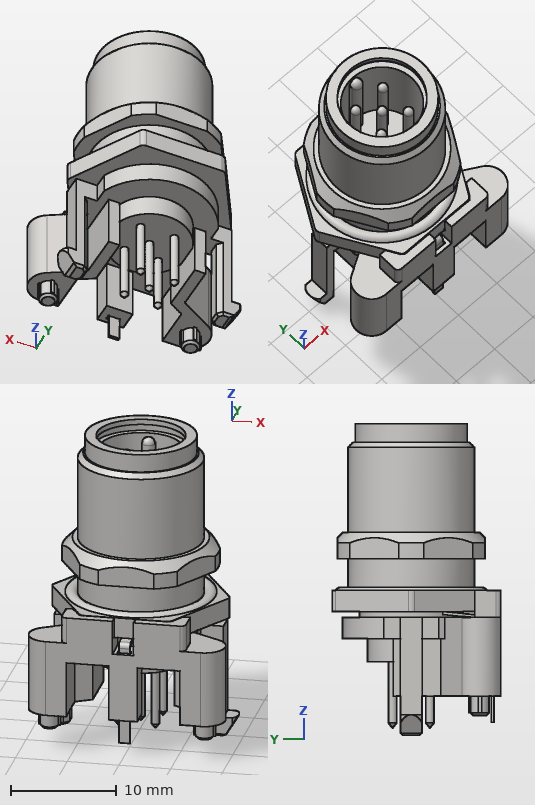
import cadquery as cq
import math


BARREL_R = 6.0
BARREL_TOP_R = 5.5
NECK_R = 5.32
FLANGE_BOTTOM_Z = 8.0
FLANGE_TOP_Z = 10.0
BARREL_TOP_Z = 24.05
BARREL_CHAMFER = BARREL_R - BARREL_TOP_R
TOP_Z = 25.8

FLANGE_ACROSS_FLATS = 15.0
FLANGE_CORNER_R = 0.6

LIP_R = 4.24
LIP_DEPTH = 0.52
UNDERCUT_R = 4.53
UNDERCUT_DEPTH = 1.23
BORE_R = 3.92
BORE_FLOOR_Z = 16.0

NUT_ACROSS_FLATS = 14.0
NUT_TURNED_R = 7.5
NUT_CHAMFER = 1.0
NUT_BOTTOM_Z = 13.0
NUT_TOP_Z = 15.5
RING_CENTER_R = 6.6
RING_SECTION_R = 0.7
RING_TOP_Z = 10.33

CONTACT_CIRCLE_R = 2.5
CONTACT_R = 0.5
CONTACT_TOP_Z = 23.54
TAIL_R = 0.4
TAIL_BOTTOM_Z = -3.05
TAIL_POINT = 0.5
KEY_Y = 3.55
KEY_R = 0.62
KEY_TOP_Z = 24.3

HOUSING_TOP_Z = 7.45
ARCH_TOP_Z = 5.45
FRONT_Y = -8.5
LOBE_X = 7.5
LOBE_R = 2.0
LOBE_Y = FRONT_Y + LOBE_R
FLANK_ANGLE = math.radians(30)
WALL_OUTER_X = 5.1
WALL_BACK_Y = 1.7
WALL_THICKNESS = 1.15
CAVITY_HALF_WIDTH = 5.5
RIB_WIDTH = 2.75
RIB_DEPTH = 2.1
HUB_R = 4.92
DISK_R = 6.54
DISK_FLAT_X = 6.0
CORE_R = 4.15
CORE_BOTTOM_Z = 3.23

BLOCK_HALF_WIDTH = 6.0
BLOCK_BACK_Y = -6.0
BLOCK_CORNER_R = 0.5
NEST_GAP = 0.08

SLOT_WIDTH = 2.04
SLOT_FLOOR_Z = 6.68
STRIP_HOLE_WIDTH = 1.26
STRIP_HOLE_FRONT_Y = -8.04
STRIP_WIDTH = 1.07
STRIP_THICKNESS = 0.28
STRIP_FRONT_Y = -7.85
STRIP_BOTTOM_Z = -2.5
STRIP_BEND_Z = 7.55
STRIP_END_Y = -3.0
LEAF_WIDTH = 8.0
STRIP_BEND_R = 0.5

LEG_WIDTH = 2.06
LEG_INNER_X = 6.8
LEG_OUTER_X = 8.19
HOOK_TIP_X = 9.5
HOOK_TOP_Z = -1.77
LEG_BOTTOM_Z = -3.72
HOOK_BOTTOM_X = 8.3
HOOK_ROUND_R = 1.34
LEG_EDGE_CHAMFER = 0.5
LEG_END_CHAMFER = 0.25

PEG_R = 0.88
PEG_BOTTOM_Z = -1.85
PEG_CHAMFER = 0.25
PEG_RIB_WIDTH = 0.32
PEG_RIB_R = 1.04
PEG_RIB_BOTTOM_Z = -1.6


def cylinder(radius, bottom_z, top_z, x=0, y=0):
    return cq.Workplane("XY", origin=(x, y, bottom_z)).circle(radius).extrude(top_z - bottom_z)


def box(x_min, x_max, y_min, y_max, z_min, z_max):
    size = (x_max - x_min, y_max - y_min, z_max - z_min)
    return cq.Workplane("XY").box(*size, centered=False).translate((x_min, y_min, z_min))


def centered_box(width, y_min, y_max, z_min, z_max):
    return box(-width / 2, width / 2, y_min, y_max, z_min, z_max)


def hexagon(across_flats, bottom_z, top_z):
    """Hexagonal prism with two of its flats facing +Y and -Y."""
    corner_diameter = across_flats / math.cos(math.pi / 6)
    return cq.Workplane("XY", origin=(0, 0, bottom_z)).polygon(6, corner_diameter).extrude(top_z - bottom_z)


def with_mirror(shape):
    return shape.union(shape.mirror("YZ"))


def flange(across_flats, corner_radius):
    return hexagon(across_flats, FLANGE_BOTTOM_Z, FLANGE_TOP_Z).edges("|Z").fillet(corner_radius)


def make_barrel():
    body = cylinder(BARREL_R, FLANGE_BOTTOM_Z, BARREL_TOP_Z).faces(">Z").chamfer(BARREL_CHAMFER)
    neck = cylinder(NECK_R, BARREL_TOP_Z, TOP_Z)
    lip = cylinder(LIP_R, TOP_Z - LIP_DEPTH, TOP_Z)
    undercut = cylinder(UNDERCUT_R, TOP_Z - UNDERCUT_DEPTH, TOP_Z - LIP_DEPTH)
    bore = cylinder(BORE_R, BORE_FLOOR_Z, TOP_Z - UNDERCUT_DEPTH)
    return body.union(neck).cut(lip).cut(undercut).cut(bore)


def make_nut():
    turned = cylinder(NUT_TURNED_R, NUT_BOTTOM_Z, NUT_TOP_Z).faces(">Z").chamfer(NUT_CHAMFER)
    bore = cylinder(BARREL_R, NUT_BOTTOM_Z, NUT_TOP_Z)
    return hexagon(NUT_ACROSS_FLATS, NUT_BOTTOM_Z, NUT_TOP_Z).intersect(turned).cut(bore)


def make_sealing_ring():
    section = cq.Workplane("XZ").center(RING_CENTER_R, RING_TOP_Z - RING_SECTION_R).circle(RING_SECTION_R)
    return section.revolve(360, (-RING_CENTER_R, 0, 0), (-RING_CENTER_R, 1, 0))


def domed_post(radius, bottom_z, top_z, x, y):
    dome_z = top_z - radius
    dome = cq.Workplane("XY", origin=(x, y, dome_z)).sphere(radius)
    return cylinder(radius, bottom_z, dome_z, x, y).union(dome)


def make_contact(x, y):
    """Domed contact in the socket with a thin pointed tail below the housing."""
    post = domed_post(CONTACT_R, BORE_FLOOR_Z, CONTACT_TOP_Z, x, y)
    tail = cylinder(TAIL_R, TAIL_BOTTOM_Z + TAIL_POINT, BORE_FLOOR_Z, x, y)
    point = cq.Workplane("XY").add(
        cq.Solid.makeCone(0, TAIL_R, TAIL_POINT, pnt=cq.Vector(x, y, TAIL_BOTTOM_Z))
    )
    return post.union(tail).union(point)


def contact_positions():
    offset = CONTACT_CIRCLE_R * math.cos(math.pi / 4)
    around = [(sx * offset, sy * offset) for sx in (-1, 1) for sy in (-1, 1)]
    return [(0, 0)] + around


def make_coding_key():
    """Domed key with a rounded nose, standing against the +Y wall of the bore."""
    nose = domed_post(KEY_R, BORE_FLOOR_Z, KEY_TOP_Z, 0, KEY_Y)
    web = centered_box(2 * KEY_R, KEY_Y, BORE_R, BORE_FLOOR_Z, KEY_TOP_Z - KEY_R)
    return nose.union(web)


def make_housing_base():
    """Lobed base: two rounded corners, sloping flanks and two parallel walls at the back."""
    slope = math.tan(FLANK_ANGLE)
    tangent_x = LOBE_X + LOBE_R * math.sin(FLANK_ANGLE)
    tangent_y = LOBE_Y + LOBE_R * math.cos(FLANK_ANGLE)
    flank_end_y = tangent_y + (tangent_x - WALL_OUTER_X) * slope
    side_x = LOBE_X + LOBE_R
    base = (
        cq.Workplane("XY")
        .moveTo(-LOBE_X, FRONT_Y)
        .lineTo(LOBE_X, FRONT_Y)
        .threePointArc((side_x, LOBE_Y), (tangent_x, tangent_y))
        .lineTo(WALL_OUTER_X, flank_end_y)
        .lineTo(WALL_OUTER_X, WALL_BACK_Y)
        .lineTo(-WALL_OUTER_X, WALL_BACK_Y)
        .lineTo(-WALL_OUTER_X, flank_end_y)
        .lineTo(-tangent_x, tangent_y)
        .threePointArc((-side_x, LOBE_Y), (-LOBE_X, FRONT_Y))
        .close()
        .extrude(HOUSING_TOP_Z)
    )

    wall_inner_x = WALL_OUTER_X - WALL_THICKNESS
    flank_at_cavity_y = tangent_y + (tangent_x - CAVITY_HALF_WIDTH) * slope
    shoulder_y = flank_at_cavity_y - WALL_THICKNESS / math.cos(FLANK_ANGLE)
    neck_y = shoulder_y + (CAVITY_HALF_WIDTH - wall_inner_x) * slope
    cavity = (
        cq.Workplane("XY")
        .polyline([
            (-CAVITY_HALF_WIDTH, FRONT_Y),
            (CAVITY_HALF_WIDTH, FRONT_Y),
            (CAVITY_HALF_WIDTH, shoulder_y),
            (wall_inner_x, neck_y),
            (wall_inner_x, WALL_BACK_Y),
            (-wall_inner_x, WALL_BACK_Y),
            (-wall_inner_x, neck_y),
            (-CAVITY_HALF_WIDTH, shoulder_y),
        ])
        .close()
        .extrude(ARCH_TOP_Z)
    )
    rib = centered_box(RIB_WIDTH, FRONT_Y, FRONT_Y + RIB_DEPTH, 0, ARCH_TOP_Z)
    return base.cut(cavity).union(rib)


def make_core():
    """Flatted disk, the hub that carries the flange, and the plug around the contact tails."""
    flats = box(-DISK_FLAT_X, DISK_FLAT_X, -DISK_R, DISK_R, ARCH_TOP_Z, HOUSING_TOP_Z)
    disk = cylinder(DISK_R, ARCH_TOP_Z, HOUSING_TOP_Z).intersect(flats)
    hub = cylinder(HUB_R, HOUSING_TOP_Z, FLANGE_BOTTOM_Z)
    plug = cylinder(CORE_R, CORE_BOTTOM_Z, HOUSING_TOP_Z)
    return disk.union(hub).union(plug)


def make_raised_block():
    width = 2 * BLOCK_HALF_WIDTH
    block = centered_box(width, FRONT_Y, BLOCK_BACK_Y, HOUSING_TOP_Z, FLANGE_TOP_Z)
    block = block.edges("|Z and <Y").fillet(BLOCK_CORNER_R)
    nest = flange(FLANGE_ACROSS_FLATS + 2 * NEST_GAP, FLANGE_CORNER_R)
    return block.cut(nest)


def cut_strip_slot(housing):
    strip_back_y = STRIP_FRONT_Y + STRIP_THICKNESS
    slot_front = centered_box(SLOT_WIDTH, FRONT_Y, strip_back_y, SLOT_FLOOR_Z, FLANGE_TOP_Z)
    slot_under_flange = centered_box(SLOT_WIDTH, FRONT_Y, BLOCK_BACK_Y, SLOT_FLOOR_Z, FLANGE_BOTTOM_Z)
    hole = centered_box(STRIP_HOLE_WIDTH, STRIP_HOLE_FRONT_Y, strip_back_y, 0, SLOT_FLOOR_Z)
    return housing.cut(slot_front).cut(slot_under_flange).cut(hole)


def bent_strip(width):
    strip_back_y = STRIP_FRONT_Y + STRIP_THICKNESS
    profile = cq.Workplane("YZ", origin=(-width / 2, 0, 0)).polyline([
        (STRIP_FRONT_Y, STRIP_BOTTOM_Z),
        (STRIP_FRONT_Y, STRIP_BEND_Z),
        (STRIP_END_Y, FLANGE_BOTTOM_Z),
        (STRIP_END_Y, FLANGE_BOTTOM_Z - STRIP_THICKNESS),
        (strip_back_y, STRIP_BEND_Z - STRIP_THICKNESS),
        (strip_back_y, STRIP_BOTTOM_Z),
    ]).close()
    strip = profile.extrude(width)
    outer_bend = cq.selectors.NearestToPointSelector((0, STRIP_FRONT_Y, STRIP_BEND_Z))
    inner_bend = cq.selectors.NearestToPointSelector((0, strip_back_y, STRIP_BEND_Z - STRIP_THICKNESS))
    strip = strip.edges(outer_bend).fillet(STRIP_BEND_R)
    return strip.edges(inner_bend).fillet(STRIP_BEND_R - STRIP_THICKNESS)


def make_shield_strip():
    """Strip that rises through the slot, bends back and widens to a sloping leaf under the flange."""
    under_flange = centered_box(LEAF_WIDTH, BLOCK_BACK_Y, STRIP_END_Y, SLOT_FLOOR_Z, FLANGE_BOTTOM_Z)
    leaf = bent_strip(LEAF_WIDTH).intersect(under_flange)
    return bent_strip(STRIP_WIDTH).union(leaf)


def make_snap_leg():
    """Snap leg on the +X side with an outward hook that is rounded in plan."""
    half = LEG_WIDTH / 2
    leg = box(LEG_INNER_X, LEG_OUTER_X, -half, half, LEG_BOTTOM_Z, HOUSING_TOP_Z)
    leg = leg.edges("|Z and <X").chamfer(LEG_EDGE_CHAMFER)
    hook = (
        cq.Workplane("XZ", origin=(0, half, 0))
        .polyline([
            (LEG_INNER_X + LEG_EDGE_CHAMFER, HOOK_TOP_Z),
            (HOOK_TIP_X, HOOK_TOP_Z),
            (HOOK_BOTTOM_X, LEG_BOTTOM_Z),
            (LEG_INNER_X + LEG_EDGE_CHAMFER, LEG_BOTTOM_Z),
        ])
        .close()
        .extrude(LEG_WIDTH)
    )
    rounding = cylinder(HOOK_ROUND_R, LEG_BOTTOM_Z, HOOK_TOP_Z, HOOK_TIP_X - HOOK_ROUND_R)
    inner_part = box(LEG_INNER_X, HOOK_TIP_X - HOOK_ROUND_R, -half, half, LEG_BOTTOM_Z, HOOK_TOP_Z)
    hook = hook.intersect(rounding.union(inner_part))
    arm = box(DISK_FLAT_X, LEG_OUTER_X, -half, half, ARCH_TOP_Z, HOUSING_TOP_Z)
    leg = leg.union(hook).faces("<Z").chamfer(LEG_END_CHAMFER)
    return leg.union(arm)


def make_peg():
    """Locating peg under the +X lobe with crush ribs on its two sides and its back."""
    peg = cylinder(PEG_R, PEG_BOTTOM_Z, 0, LOBE_X, LOBE_Y).faces("<Z").chamfer(PEG_CHAMFER)
    rib = box(0, PEG_RIB_R, -PEG_RIB_WIDTH / 2, PEG_RIB_WIDTH / 2, PEG_RIB_BOTTOM_Z, 0)
    for angle in (0, 90, 180):
        turned_rib = rib.rotate((0, 0, 0), (0, 0, 1), angle)
        peg = peg.union(turned_rib.translate((LOBE_X, LOBE_Y, 0)))
    return peg


housing = make_housing_base().union(make_core()).union(make_raised_block())
housing = cut_strip_slot(housing)
housing = housing.union(with_mirror(make_snap_leg())).union(with_mirror(make_peg()))

result = housing.union(flange(FLANGE_ACROSS_FLATS, FLANGE_CORNER_R)).union(make_barrel())
result = result.union(make_sealing_ring()).union(make_nut()).union(make_shield_strip())
for contact_x, contact_y in contact_positions():
    result = result.union(make_contact(contact_x, contact_y))
result = result.union(make_coding_key())